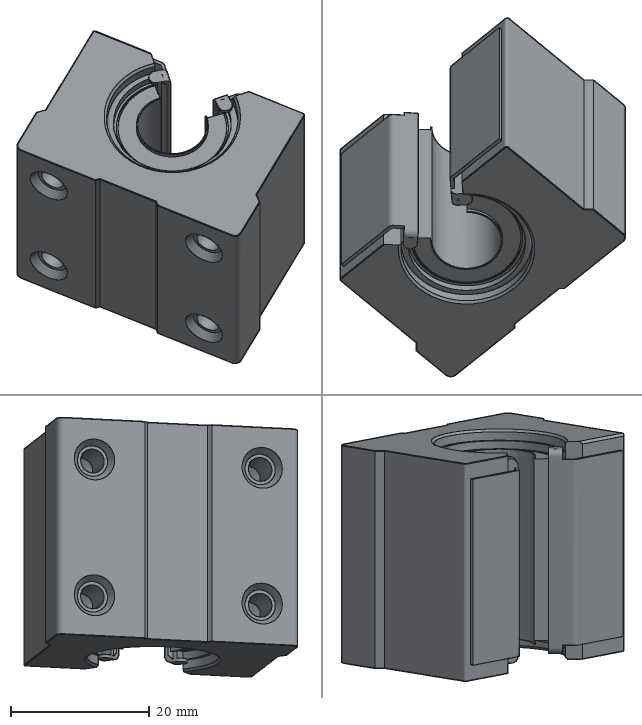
import cadquery as cq
import math


length = 32.0
base_width = 36.0
body_width = 34.0
axis_height = 15.0
body_height = 24.0
base_edge_height = 7.1
front_fillet = 1.0
back_fillet = 0.4
end_chamfer = 0.1
left_back_chamfer = 0.4
relief_width = 10.0
relief_depth = 0.5
housing_opening_half_angle = 41.5

hole_spacing_x = 25.0
hole_spacing_z = 20.0
countersink_dia = 6.0
shoulder_dia = 4.5
shoulder_depth = 1.2
drill_dia = 3.5
drill_depth = 8.0
drill_tip_angle = 118.0

sleeve_dia = 19.0
sleeve_length = 29.0
sleeve_corner_fillet = 0.5
bore_chamfer = 0.35
sleeve_recess_dia = 17.0
retainer_dia = 16.2
retainer_length = 26.7
retainer_rim_step = 0.25
shaft_dia = 10.0
lip_thickness = 0.2
lip_height = 0.55
bearing_opening_half_angle = 45.0

plate_thickness = 0.5
plate_length = 27.3
plate_half_span = 16.0
leg_angle = math.radians(40.5)
leg_tip_x = 3.4
leg_tip_y = 6.45
bend_radius = 1.0
seal_width = 2.05
seal_reach = 2.0
seal_length = 30.0
seal_edge_fillet = 1.0
seal_groove_start = 0.6
seal_groove_end = 1.4
seal_groove_depth = 0.45
seal_groove_chamfer = 0.55

front_y = -axis_height
back_y = body_height - axis_height


def cylinder(diameter, height):
    return cq.Workplane("XY").circle(diameter / 2).extrude(height / 2, both=True)


def opening_wedge(half_angle):
    """Radial wedge from the bore axis toward +Y, longer and deeper than the block."""
    reach = 2 * body_height
    half_mouth = reach * math.tan(math.radians(half_angle))
    points = [(0, 0), (half_mouth, reach), (-half_mouth, reach)]
    return cq.Workplane("XY").polyline(points).close().extrude(length, both=True)


def mounting_hole():
    """Blind hole with a flat-bottomed countersink and a drill tip, bored along +Y."""
    tip_depth = drill_dia / 2 / math.tan(math.radians(drill_tip_angle / 2))
    points = [
        (0, 0),
        (countersink_dia / 2, 0),
        (shoulder_dia / 2, shoulder_depth),
        (drill_dia / 2, shoulder_depth),
        (drill_dia / 2, drill_depth),
        (0, drill_depth + tip_depth),
    ]
    return cq.Workplane("XY").polyline(points).close().revolve(360, (0, 0), (0, 1))


def left_back_bevel():
    """Wedge that bevels the upper back edge of the -X half."""
    top = length / 2
    points = [
        (back_y - left_back_chamfer, top),
        (back_y, top),
        (back_y, top - left_back_chamfer),
    ]
    return cq.Workplane("YZ").polyline(points).close().extrude(-body_width)


def make_housing():
    half_base = base_width / 2
    half_body = body_width / 2
    shoulder = half_base - half_body
    edge_y = front_y + base_edge_height
    half_relief = relief_width / 2
    right_side = [
        (half_relief - relief_depth, front_y + relief_depth),
        (half_relief, front_y),
        (half_base, front_y),
        (half_base, edge_y),
        (half_body, edge_y + shoulder),
        (half_body, back_y),
    ]
    left_side = [(-x, y) for x, y in reversed(right_side)]
    outline = cq.Workplane("XY").polyline(right_side + left_side).close()
    housing = outline.extrude(length / 2, both=True)

    for x in (-half_base, half_base):
        corner = cq.selectors.NearestToPointSelector((x, front_y, 0))
        housing = housing.edges("|Z").edges(corner).fillet(front_fillet)
    for x in (-half_body, half_body):
        corner = cq.selectors.NearestToPointSelector((x, back_y, 0))
        housing = housing.edges("|Z").edges(corner).fillet(back_fillet)

    housing = housing.faces("<Z or >Z").edges().chamfer(end_chamfer)
    housing = housing.cut(left_back_bevel())
    housing = housing.cut(cylinder(sleeve_dia, length))
    for end in (-1, 1):
        cone = cq.Solid.makeCone(
            sleeve_dia / 2 + bore_chamfer,
            sleeve_dia / 2,
            bore_chamfer,
            pnt=cq.Vector(0, 0, end * length / 2),
            dir=cq.Vector(0, 0, -end),
        )
        housing = housing.cut(cq.Workplane(cone))
    housing = housing.cut(opening_wedge(housing_opening_half_angle))

    for x in (-hole_spacing_x / 2, hole_spacing_x / 2):
        for z in (-hole_spacing_z / 2, hole_spacing_z / 2):
            housing = housing.cut(mounting_hole().translate((x, front_y, z)))
    return housing


def make_sleeve():
    sleeve = cylinder(sleeve_dia, sleeve_length)
    sleeve = sleeve.faces("<Z or >Z").edges().fillet(sleeve_corner_fillet)
    sleeve = sleeve.cut(cylinder(retainer_dia, sleeve_length))
    end_recesses = cylinder(sleeve_recess_dia, sleeve_length).cut(
        cylinder(sleeve_recess_dia, retainer_length)
    )
    sleeve = sleeve.cut(end_recesses)
    return sleeve.cut(opening_wedge(bearing_opening_half_angle))


def make_retainer():
    core = cylinder(retainer_dia, retainer_length - 2 * retainer_rim_step)
    core = core.union(cylinder(retainer_dia - 2 * retainer_rim_step, retainer_length))
    lip = cylinder(shaft_dia + 2 * lip_thickness, retainer_length + 2 * lip_height)
    retainer = core.union(lip).cut(cylinder(shaft_dia, length))
    return retainer.cut(opening_wedge(bearing_opening_half_angle))


def on_leg(up, out):
    """Point at a distance up the left leg from its tip and out from its opening-side face."""
    return (
        -leg_tip_x - up * math.sin(leg_angle) - out * math.cos(leg_angle),
        leg_tip_y + up * math.cos(leg_angle) - out * math.sin(leg_angle),
    )


def prism(points, height):
    return cq.Workplane("XY").polyline(points).close().extrude(height / 2, both=True)


def clip_plate():
    """Flat plate on the housing back whose inner end bends down into the opening."""
    outer_y = back_y + plate_thickness
    outer_tip = on_leg(0, 0)
    inner_tip = on_leg(0, plate_thickness)
    outer_bend = on_leg((outer_y - outer_tip[1]) / math.cos(leg_angle), 0)
    inner_bend = on_leg((back_y - inner_tip[1]) / math.cos(leg_angle), plate_thickness)
    outline = [
        outer_tip,
        outer_bend,
        (-plate_half_span, outer_y),
        (-plate_half_span, back_y),
        inner_bend,
        inner_tip,
    ]
    plate = prism(outline, plate_length)
    bends = ((outer_bend, bend_radius), (inner_bend, bend_radius - plate_thickness))
    for point, radius in bends:
        bend = cq.selectors.NearestToPointSelector((*point, 0))
        plate = plate.edges("|Z").edges(bend).fillet(radius)
    return plate


def seal_bar():
    """Bar around the leg, with its end edges rounded on the opening side."""
    outline = [
        on_leg(0, 0),
        on_leg(seal_width, 0),
        on_leg(seal_width, seal_reach),
        on_leg(0, seal_reach),
    ]
    bar = prism(outline, seal_length)
    opening_face = cq.selectors.NearestToPointSelector((*on_leg(seal_width / 2, 0), 0))
    return bar.faces(opening_face).edges("<Z or >Z").fillet(seal_edge_fillet)


def seal_heads():
    """Round tabs at both ends of the seal that overlap the sleeve ends."""
    centre = on_leg(seal_width / 2, seal_reach)
    tabs = cylinder(seal_width, seal_length).cut(cylinder(seal_width, sleeve_length))
    return tabs.translate((*centre, 0))


def seal_groove():
    """Wedge-shaped groove along the tip face, with bevelled corners at both ends."""
    section = [
        on_leg(0, seal_groove_start),
        on_leg(0, seal_groove_end),
        on_leg(seal_groove_depth, seal_groove_end),
    ]
    wedge = prism(section, sleeve_length)
    end_z = sleeve_length / 2
    bevel_z = end_z - seal_groove_chamfer
    bevel_out = seal_groove_start + seal_groove_chamfer
    tip_plane = cq.Plane(
        origin=(*on_leg(0, 0), 0),
        xDir=(-math.cos(leg_angle), -math.sin(leg_angle), 0),
        normal=(math.sin(leg_angle), -math.cos(leg_angle), 0),
    )
    window_points = [
        (seal_groove_start, -bevel_z),
        (seal_groove_start, bevel_z),
        (bevel_out, end_z),
        (seal_groove_end, end_z),
        (seal_groove_end, -end_z),
        (bevel_out, -end_z),
    ]
    window = cq.Workplane(tip_plane).polyline(window_points).close().extrude(seal_width, both=True)
    return wedge.intersect(window)


def make_clip():
    """Bent plate on the -X side with the seal moulded onto its leg."""
    seal = seal_bar().union(seal_heads()).cut(seal_groove())
    return clip_plate().union(seal)


housing = make_housing()
sleeve = make_sleeve()
retainer = make_retainer()
left_clip = make_clip()
right_clip = left_clip.mirror("YZ")

result = cq.Compound.makeCompound(
    [housing.val(), sleeve.val(), retainer.val(), left_clip.val(), right_clip.val()]
)